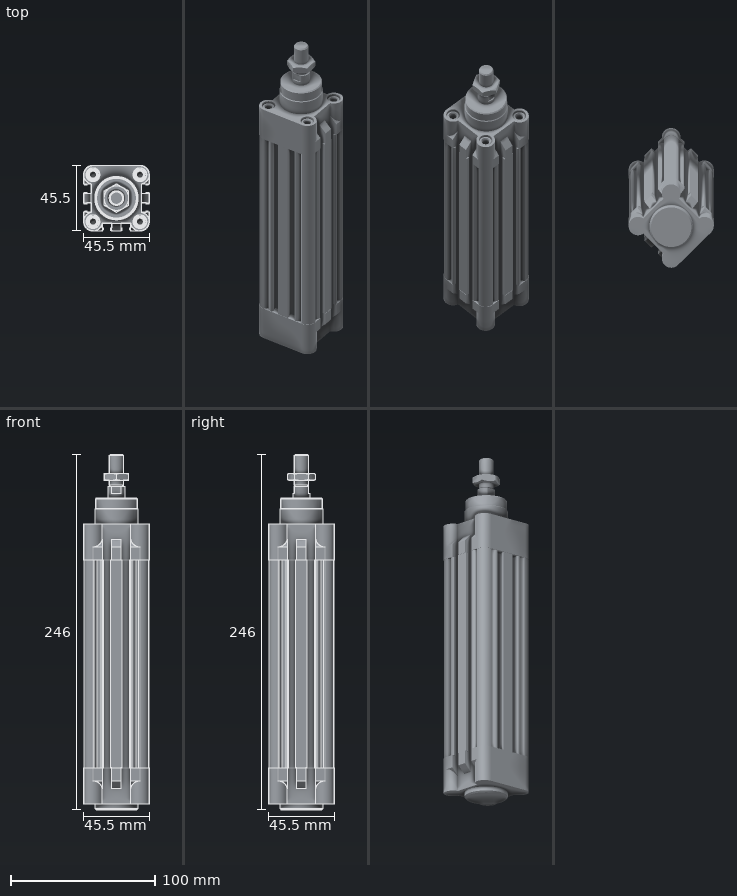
import cadquery as cq

width = 45.5
half_width = width / 2
housing_length = 194.0
cover_length = 25.0
barrel_length = housing_length - 2 * cover_length
barrel_width = 45.0
barrel_half_width = barrel_width / 2

bolt_spacing = 32.5
bolt_offset = bolt_spacing / 2
boss_radius = half_width - bolt_offset
boss_inner_edge = bolt_offset - boss_radius
core_half_width = 17.5
side_depth = half_width - core_half_width

pad_length = 9.0
cover_rib_width = 6.6

slot_mouth_inner = 4.0
slot_mouth_outer = 9.0
slot_inner = cover_rib_width / 2
slot_outer = boss_inner_edge
slot_lip = 2.0
slot_lip_chamfer = 0.8
groove_inner = 10.8
groove_outer = 15.4
groove_bottom = 13.6
groove_depth = 2.5
groove_sag = 0.35

recess_diameter = 9.5
recess_depth = 5.0
head_diameter = 9.0
head_depth = 1.0
head_chamfer = 0.8
socket_diameter = 6.0
thread_diameter = 4.92
thread_start = 2.0
thread_depth = 20.0
drill_tip_height = thread_diameter / 2

collar_diameter = 30.0
collar_height = 10.6
nose_diameter = 29.0
bearing_height = 18.0
nose_chamfer = 0.7
rear_collar_height = 4.0
rear_collar_chamfer = 1.0

rod_diameter = 12.0
rod_shoulder = 26.0
flat_width = 10.0
flat_length = 5.0
thread_size = 10.0
thread_length = 22.0
tip_chamfer_height = 0.85
thread_root = 8.57
thread_chamfer = (thread_size - thread_root) / 2
nut_width = 17.0
nut_corner_diameter = nut_width / (3 ** 0.5 / 2)
nut_thickness = 5.0
nut_position = 30.0
nut_chamfer_diameter = nut_width
nut_chamfer_height = 0.7


def box(x_range, y_range, z_range):
    """Box spanning the given ranges."""
    size = [high - low for low, high in (x_range, y_range, z_range)]
    corner = (x_range[0], y_range[0], z_range[0])
    return cq.Workplane("XY").box(*size, centered=False).translate(corner)


def cylinder(diameter, bottom, height):
    """Cylinder on the main axis."""
    return cq.Workplane("XY").workplane(offset=bottom).circle(diameter / 2).extrude(height)


def sloped_pad(x_center, pad_width):
    """Pad on the -Y side of a cover, standing on Z = 0, its top sloping up at 45 degrees to the core."""
    return (
        cq.Workplane("YZ")
        .polyline([
            (-half_width, 0),
            (-half_width, pad_length),
            (-core_half_width, pad_length + side_depth),
            (-core_half_width, 0),
        ])
        .close()
        .extrude(pad_width / 2, both=True)
        .translate((x_center, 0, 0))
    )


def make_cover():
    """End cover with its barrel face at Z = 0 and its end face at Z = cover_length."""
    core_width = 2 * core_half_width
    cover = cq.Workplane("XY").rect(core_width, core_width).extrude(cover_length)
    bosses = (
        cq.Workplane("XY")
        .rect(bolt_spacing, bolt_spacing, forConstruction=True)
        .vertices()
        .circle(boss_radius)
        .extrude(cover_length)
    )
    cover = cover.union(bosses)
    for angle in (-90, 0, 90):
        pads = sloped_pad(0, cover_rib_width)
        for side in (-1, 1):
            pad_center = side * (boss_inner_edge + bolt_offset) / 2
            pads = pads.union(sloped_pad(pad_center, bolt_offset - boss_inner_edge))
        cover = cover.union(pads.rotate((0, 0, 0), (0, 0, 1), angle))
    port_side = box((-bolt_offset, bolt_offset), (0, half_width), (0, cover_length))
    return cover.union(port_side)


def make_barrel():
    """Barrel profile with two T slots and two V grooves on every side."""
    barrel = cq.Workplane("XY").rect(barrel_width, barrel_width).extrude(barrel_length)
    barrel = barrel.edges("|Z").fillet(barrel_half_width - bolt_offset)
    lip_bottom = -barrel_half_width + slot_lip
    slot = (
        cq.Workplane("XY")
        .polyline([
            (slot_mouth_inner, -barrel_half_width),
            (slot_mouth_inner, lip_bottom),
            (slot_inner, lip_bottom),
            (slot_inner, -core_half_width),
            (slot_outer, -core_half_width),
            (slot_outer, lip_bottom),
            (slot_mouth_outer, lip_bottom),
            (slot_mouth_outer, -barrel_half_width + slot_lip_chamfer),
            (slot_mouth_outer + slot_lip_chamfer, -barrel_half_width),
        ])
        .close()
        .extrude(barrel_length)
    )
    groove = (
        cq.Workplane("XY")
        .moveTo(groove_inner, -barrel_half_width)
        .sagittaArc((groove_bottom, -barrel_half_width + groove_depth), -groove_sag)
        .lineTo(groove_outer, -barrel_half_width)
        .close()
        .extrude(barrel_length)
    )
    half_cut = slot.union(groove)
    side_cut = half_cut.union(half_cut.mirror("YZ"))
    for quarter in range(4):
        barrel = barrel.cut(side_cut.rotate((0, 0, 0), (0, 0, 1), 90 * quarter))
    return barrel


def screw_recess():
    """Ring gap around a chamfered screw head below Z = 0, with a blind socket ending in a drill point."""
    return (
        cq.Workplane("XZ")
        .polyline([
            (0, 0),
            (recess_diameter / 2, 0),
            (recess_diameter / 2, -recess_depth),
            (head_diameter / 2, -recess_depth),
            (head_diameter / 2, -head_depth - head_chamfer),
            (head_diameter / 2 - head_chamfer, -head_depth),
            (socket_diameter / 2, -head_depth),
            (thread_diameter / 2, -thread_start),
            (thread_diameter / 2, -thread_depth),
            (0, -thread_depth - drill_tip_height),
        ])
        .close()
        .revolve(360, (0, 0, 0), (0, 1, 0))
    )


def make_housing():
    """Barrel with both covers, the front collar with its rod bore, and the rear collar."""
    nose = cylinder(nose_diameter, housing_length, bearing_height).faces(">Z").chamfer(nose_chamfer)
    collar = cylinder(collar_diameter, housing_length, collar_height)
    collar = collar.faces(">Z").chamfer((collar_diameter - nose_diameter) / 2)
    upper_cover = make_cover().translate((0, 0, housing_length - cover_length))
    upper_cover = upper_cover.union(nose).union(collar)
    for x in (-bolt_offset, bolt_offset):
        for y in (-bolt_offset, bolt_offset):
            upper_cover = upper_cover.cut(screw_recess().translate((x, y, housing_length)))
    upper_cover = upper_cover.cut(cylinder(rod_diameter, housing_length, bearing_height))

    rear_collar = cylinder(collar_diameter, -rear_collar_height, rear_collar_height)
    rear_collar = rear_collar.faces("<Z").chamfer(rear_collar_chamfer)
    lower_cover = make_cover().mirror("XY").translate((0, 0, cover_length)).union(rear_collar)

    barrel = make_barrel().translate((0, 0, cover_length))
    return barrel.union(upper_cover, clean=False).union(lower_cover, clean=False)


def make_rod():
    """Rod with two wrench flats facing +Y and -Y below the threaded end."""
    shank = cylinder(rod_diameter, 0, rod_shoulder)
    flat_heights = (rod_shoulder - flat_length, rod_shoulder)
    for side in (-1, 1):
        near, far = sorted((side * flat_width / 2, side * rod_diameter))
        shank = shank.cut(box((-rod_diameter, rod_diameter), (near, far), flat_heights))
    thread = cylinder(thread_size, rod_shoulder, thread_length)
    thread = thread.faces(">Z").chamfer(tip_chamfer_height, thread_chamfer)
    thread = thread.faces("<Z").chamfer(thread_chamfer)
    return shank.union(thread).translate((0, 0, housing_length))


def make_nut():
    """Hexagon nut with flats facing +X and -X and both ends chamfered."""
    nut = (
        cq.Workplane("XY")
        .polygon(6, nut_corner_diameter)
        .extrude(nut_thickness)
        .rotate((0, 0, 0), (0, 0, 1), 30)
    )
    envelope = cylinder(nut_corner_diameter, 0, nut_thickness).faces("<Z or >Z").chamfer(
        nut_chamfer_height, (nut_corner_diameter - nut_chamfer_diameter) / 2
    )
    nut = nut.intersect(envelope).cut(cylinder(thread_size, 0, nut_thickness))
    return nut.translate((0, 0, housing_length + nut_position))


housing = make_housing()
rod = make_rod()
nut = make_nut()
result = cq.Compound.makeCompound([housing.val(), rod.val(), nut.val()])